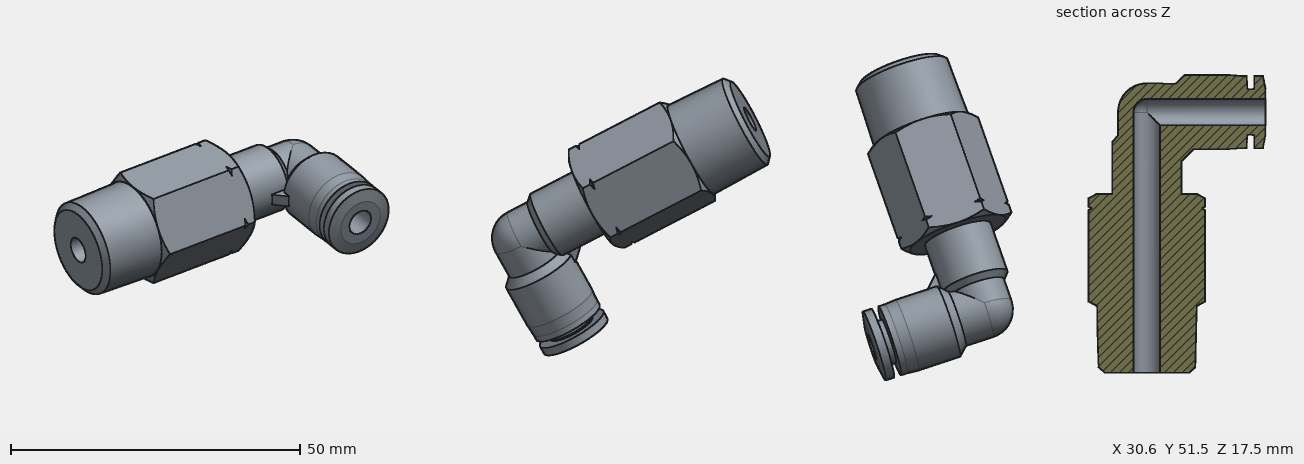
import cadquery as cq
import math

total_length = 51.5

thread_length = 11.55
thread_root_radius = 8.65
thread_tip_radius = 8.4
thread_chamfer_length = 1.0
thread_face_radius = 7.3

hex_across_flats = 17.45
hex_length = 19.4
hex_chamfer_angle = 30.0
notch_centre_from_top = 2.5
notch_width = 0.6
notch_depth = 0.5

stem_radius = 6.0
elbow_radius = 5.0
stem_shoulder_start = 39.95
stem_shoulder_end = 41.1
bore_radius = 2.25

collar_radius = 6.45
collar_cone_start = 5.0
collar_start = 6.55
collar_taper_start = 14.1
collar_lip_start = 16.1
collar_end = 17.25
collar_lip_radius = 6.3
collar_face_recess = 0.15

sleeve_neck_radius = 3.95
sleeve_fillet_radius = 4.1
sleeve_fillet_length = 0.2
sleeve_flange_start = 18.55
sleeve_rim_end = 20.1
sleeve_face_radius = 4.1

web_leg = 2.05
web_thickness = 2.05

hex_corner_radius = hex_across_flats / math.sqrt(3)
hex_top = thread_length + hex_length
outlet_y = total_length - collar_radius
overall_width = 30.6
sleeve_end = overall_width - hex_corner_radius


def revolve_about_y(points):
    """Revolve a closed (radius, y) outline about the stem axis."""
    return cq.Workplane("XY").polyline(points).close().revolve(360, (0, 0, 0), (0, 1, 0))


def cylinder_y(radius, start, end):
    """Cylinder on the stem axis."""
    return revolve_about_y([(0, start), (radius, start), (radius, end), (0, end)])


def make_bend(radius):
    """Quarter of a ball joining two equal cylinders on the outside of the elbow."""
    return (
        cq.Workplane("XY", origin=(0, outlet_y, 0))
        .transformed(rotate=(90, 0, 0))
        .moveTo(0, -radius)
        .threePointArc((-radius, 0), (0, radius))
        .close()
        .revolve(90, (0, 0, 0), (0, -1, 0))
    )


def make_thread():
    return revolve_about_y([
        (0, 0),
        (thread_face_radius, 0),
        (thread_tip_radius, thread_chamfer_length),
        (thread_root_radius, thread_length),
        (0, thread_length),
    ])


def make_hexagon():
    """Hexagon with both ends chamfered and a V groove that only cuts its corners."""
    prism = (
        cq.Workplane("XZ", origin=(0, thread_length, 0))
        .polygon(6, 2 * hex_corner_radius)
        .extrude(-hex_length)
    )
    flat_radius = hex_across_flats / 2
    chamfer_drop = (hex_corner_radius - flat_radius) * math.tan(math.radians(hex_chamfer_angle))
    notch_y = hex_top - notch_centre_from_top
    envelope = revolve_about_y([
        (0, thread_length),
        (flat_radius, thread_length),
        (hex_corner_radius, thread_length + chamfer_drop),
        (hex_corner_radius, notch_y - notch_width / 2),
        (hex_corner_radius - notch_depth, notch_y),
        (hex_corner_radius, notch_y + notch_width / 2),
        (hex_corner_radius, hex_top - chamfer_drop),
        (flat_radius, hex_top),
        (0, hex_top),
    ])
    return prism.intersect(envelope)


def make_stem():
    """Stem with a conical shoulder, ending at the outlet axis."""
    return revolve_about_y([
        (0, hex_top),
        (stem_radius, hex_top),
        (stem_radius, stem_shoulder_start),
        (elbow_radius, stem_shoulder_end),
        (elbow_radius, outlet_y),
        (0, outlet_y),
    ])


def make_outlet():
    """Elbow arm, tube collar and release sleeve, revolved about the outlet axis."""
    outline = [
        (0, 0),
        (0, elbow_radius),
        (collar_cone_start, elbow_radius),
        (collar_start, collar_radius),
        (collar_taper_start, collar_radius),
        (collar_lip_start, collar_lip_radius),
        (collar_end, collar_lip_radius),
        (collar_end + collar_face_recess, sleeve_neck_radius),
        (sleeve_flange_start - sleeve_fillet_length, sleeve_neck_radius),
        (sleeve_flange_start, sleeve_fillet_radius),
        (sleeve_flange_start, collar_lip_radius),
        (sleeve_rim_end, collar_lip_radius),
        (sleeve_end, sleeve_face_radius),
        (sleeve_end, 0),
    ]
    return (
        cq.Workplane("XY", origin=(0, outlet_y, 0))
        .polyline(outline).close()
        .revolve(360, (0, 0, 0), (1, 0, 0))
    )


def make_web():
    """Triangular web, carried inside the stem and the collar for a solid joint."""
    corner_y = outlet_y - collar_radius
    outline = [
        (0, corner_y - web_leg),
        (stem_radius, corner_y - web_leg),
        (stem_radius + web_leg, corner_y),
        (stem_radius + web_leg, outlet_y),
        (0, outlet_y),
    ]
    return cq.Workplane("XY").polyline(outline).close().extrude(web_thickness / 2, both=True)


def make_bore():
    """Flow passage from the threaded face, around the elbow and out of the sleeve."""
    inlet = cylinder_y(bore_radius, 0, outlet_y)
    outlet = cq.Workplane("YZ", origin=(0, outlet_y, 0)).circle(bore_radius).extrude(sleeve_end)
    return inlet.union(outlet).union(make_bend(bore_radius))


elbow = make_stem().union(make_outlet()).union(make_bend(elbow_radius)).union(make_web())
body = make_thread().union(make_hexagon()).union(elbow)
result = body.cut(make_bore())